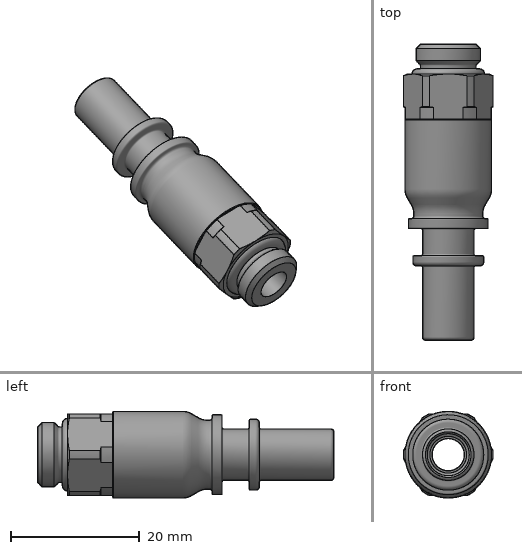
import cadquery as cq
import math

LENGTH = 46.05

TUBE_R = 4.0
TIP_ROUND = 0.45
TUBE_ROOT_ROUND = 0.25

RING_R = 5.53
RING_START = 11.55
RING_END = 13.15
RING_FRONT_ROUND = 0.6
RING_BACK_ROUND = 0.28

FLANGE_R = 6.2
FLANGE_START = 17.35
FLANGE_END = 18.93
FLANGE_ROUND = 0.2

NECK_R = 5.4
NECK_ROOT_ROUND = 0.35
SLEEVE_DIAMETER = 13.5
SLEEVE_R = SLEEVE_DIAMETER / 2
SLEEVE_END = 34.4
SLEEVE_CHAMFER = 0.15
SHOULDER_START = 19.75
SHOULDER_ANGLE = math.radians(30)
SHOULDER_ROUND = 2.5

NUT_SIDES = 6
NUT_FLATS = 12.7
NUT_CORNER_R = 7.0
NUT_STEP = 36.35
NUT_STEP_CHAMFER = 0.15
NUT_END = 41.4
NUT_CHAMFER_LENGTH = 0.28

COLLAR_R = 5.65
COLLAR_END = 42.25
COLLAR_ROUND = 0.87

UNDERCUT_R = 4.35
UNDERCUT_ROUND = 0.3
PLUG_R = 5.0
PLUG_START = 43.45
PLUG_ANGLE = math.radians(45)
PLUG_CHAMFER = 0.7

BORE_R = 2.5
COUNTERBORE_R = 3.25
COUNTERBORE_DEPTH = 1.65
COUNTERBORE_FLOOR_R = 2.85
COUNTERBORE_FLOOR_CONE = 0.2
MOUTH_R = TUBE_R - TIP_ROUND


def revolve_about_y(profile):
    """Close an (x = radius, y = station) profile and turn it about the Y axis."""
    return profile.close().revolve(360, (0, 0, 0), (0, 1, 0))


def disc(radius, start, end):
    """Cylinder on the Y axis between two stations."""
    return cq.Workplane("XZ", origin=(0, end, 0)).circle(radius).extrude(end - start)


def root_fillet(radius, station, size, side):
    """Concave fillet ring where a cylinder meets a face; side is +1 or -1 along Y from the face."""
    centre_r = radius + size
    centre_y = station + side * size
    reach = size * math.sqrt(0.5)
    profile = (
        cq.Workplane("XY")
        .moveTo(centre_r, station)
        .threePointArc((centre_r - reach, centre_y - side * reach), (radius, centre_y))
        .lineTo(0, centre_y)
        .lineTo(0, station)
    )
    return revolve_about_y(profile)


def make_tube():
    """Tube with rounded tip, ring and flange, filleted where they stand on the tube."""
    tube = disc(TUBE_R, 0, FLANGE_START).faces("<Y").edges().fillet(TIP_ROUND)
    ring = disc(RING_R, RING_START, RING_END)
    ring = ring.faces("<Y").edges().fillet(RING_FRONT_ROUND)
    ring = ring.faces(">Y").edges().fillet(RING_BACK_ROUND)
    flange = disc(FLANGE_R, FLANGE_START, FLANGE_END).edges("%CIRCLE").fillet(FLANGE_ROUND)
    tube = tube.union(ring).union(flange)
    for station, side in ((RING_START, -1), (RING_END, 1), (FLANGE_START, -1)):
        tube = tube.union(root_fillet(TUBE_R, station, TUBE_ROOT_ROUND, side))
    return tube


def make_sleeve():
    """Neck, flowing S-shaped shoulder and sleeve."""
    arc_length = SHOULDER_ROUND * math.sin(SHOULDER_ANGLE)
    arc_rise = SHOULDER_ROUND * (1 - math.cos(SHOULDER_ANGLE))
    mid_length = SHOULDER_ROUND * math.sin(SHOULDER_ANGLE / 2)
    mid_rise = SHOULDER_ROUND * (1 - math.cos(SHOULDER_ANGLE / 2))
    cone_length = (SLEEVE_R - NECK_R - 2 * arc_rise) / math.tan(SHOULDER_ANGLE)
    cone_start = SHOULDER_START + arc_length
    cone_end = cone_start + cone_length
    shoulder_end = cone_end + arc_length
    profile = (
        cq.Workplane("XY")
        .moveTo(0, FLANGE_END)
        .lineTo(NECK_R, FLANGE_END)
        .lineTo(NECK_R, SHOULDER_START)
        .threePointArc((NECK_R + mid_rise, SHOULDER_START + mid_length), (NECK_R + arc_rise, cone_start))
        .lineTo(SLEEVE_R - arc_rise, cone_end)
        .threePointArc((SLEEVE_R - mid_rise, shoulder_end - mid_length), (SLEEVE_R, shoulder_end))
        .lineTo(SLEEVE_R, SLEEVE_END - SLEEVE_CHAMFER)
        .lineTo(SLEEVE_R - SLEEVE_CHAMFER, SLEEVE_END)
        .lineTo(0, SLEEVE_END)
    )
    return revolve_about_y(profile).union(root_fillet(NECK_R, FLANGE_END, NECK_ROOT_ROUND, 1))


def make_nut():
    """Hexagon with flats facing +Z and -Z, trimmed by a turned envelope."""
    flat_distance = NUT_FLATS / 2
    across_corners = NUT_FLATS / math.cos(math.pi / NUT_SIDES)
    hexagon = (
        cq.Workplane("XZ", origin=(0, NUT_END, 0))
        .polygon(NUT_SIDES, across_corners)
        .extrude(NUT_END - SLEEVE_END)
    )
    envelope = (
        cq.Workplane("XY")
        .moveTo(0, SLEEVE_END)
        .lineTo(SLEEVE_R, SLEEVE_END)
        .lineTo(SLEEVE_R, NUT_STEP - NUT_STEP_CHAMFER)
        .lineTo(NUT_CORNER_R, NUT_STEP)
        .lineTo(NUT_CORNER_R, NUT_END - NUT_CHAMFER_LENGTH)
        .lineTo(flat_distance, NUT_END)
        .lineTo(0, NUT_END)
    )
    return hexagon.intersect(revolve_about_y(envelope))


def make_plug():
    """Collar, undercut and chamfered end plug."""
    collar = disc(COLLAR_R, NUT_STEP, COLLAR_END).faces(">Y").edges().fillet(COLLAR_ROUND)
    arc_rise = UNDERCUT_ROUND * (1 - math.cos(PLUG_ANGLE))
    arc_length = UNDERCUT_ROUND * math.sin(PLUG_ANGLE)
    mid_rise = UNDERCUT_ROUND * (1 - math.cos(PLUG_ANGLE / 2))
    mid_length = UNDERCUT_ROUND * math.sin(PLUG_ANGLE / 2)
    cone_start_r = UNDERCUT_R + arc_rise
    cone_start = PLUG_START - (PLUG_R - cone_start_r) / math.tan(PLUG_ANGLE)
    arc_start = cone_start - arc_length
    profile = (
        cq.Workplane("XY")
        .moveTo(0, COLLAR_END)
        .lineTo(UNDERCUT_R, COLLAR_END)
        .lineTo(UNDERCUT_R, arc_start)
        .threePointArc((UNDERCUT_R + mid_rise, arc_start + mid_length), (cone_start_r, cone_start))
        .lineTo(PLUG_R, PLUG_START)
        .lineTo(PLUG_R, LENGTH - PLUG_CHAMFER)
        .lineTo(PLUG_R - PLUG_CHAMFER, LENGTH)
        .lineTo(0, LENGTH)
    )
    return collar.union(revolve_about_y(profile))


def make_bore():
    """Through bore with a counterbore in the tip, coned at its mouth and at its floor."""
    mouth_depth = MOUTH_R - COUNTERBORE_R
    profile = (
        cq.Workplane("XY")
        .moveTo(0, 0)
        .lineTo(MOUTH_R, 0)
        .lineTo(COUNTERBORE_R, mouth_depth)
        .lineTo(COUNTERBORE_R, COUNTERBORE_DEPTH - COUNTERBORE_FLOOR_CONE)
        .lineTo(COUNTERBORE_FLOOR_R, COUNTERBORE_DEPTH)
        .lineTo(BORE_R, COUNTERBORE_DEPTH)
        .lineTo(BORE_R, LENGTH)
        .lineTo(0, LENGTH)
    )
    return revolve_about_y(profile)


body = make_tube().union(make_sleeve()).union(make_nut()).union(make_plug())
result = body.cut(make_bore())